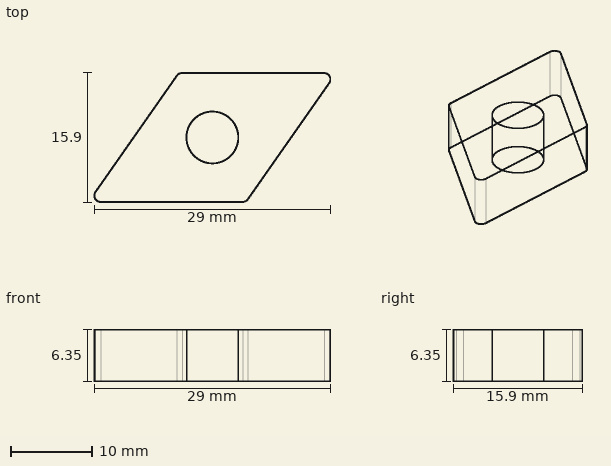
import cadquery as cq
import math

inscribed_diameter = 15.875
nose_angle = 55.0
nose_radius = 0.79375
thickness = 6.35
hole_diameter = 6.35

nose_angle_rad = math.radians(nose_angle)
side_length = inscribed_diameter / math.sin(nose_angle_rad)
slope_run = side_length * math.cos(nose_angle_rad)
half_height = inscribed_diameter / 2
far_x = (side_length + slope_run) / 2
near_x = (side_length - slope_run) / 2


def rhombus_body():
    """Rhombic plate with rounded corners, centred on the origin."""
    corners = [
        (-far_x, -half_height),
        (near_x, -half_height),
        (far_x, half_height),
        (-near_x, half_height),
    ]
    plate = cq.Workplane("XY").polyline(corners).close().extrude(thickness / 2, both=True)
    return plate.edges("|Z").fillet(nose_radius)


def clamping_hole(body):
    """Central through hole along Z."""
    return body.faces(">Z").workplane(origin=(0, 0, 0)).hole(hole_diameter)


result = clamping_hole(rhombus_body())